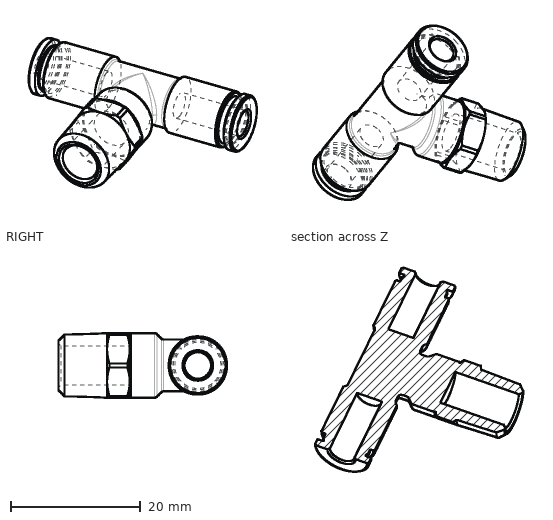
import cadquery as cq
import math


run_half_length = 17.6
body_radius = 4.5
collar_width = 1.23
collar_chamfer = 0.25
neck_radius = 3.75
groove_radius = 3.55
groove_width = 0.2
neck_chamfer = 0.2
body_start = 15.07
body_outer_chamfer = 0.2
body_end = 6.05

pipe_radius = 4.0
blend_radius = 0.5

branch_length = 21.48
shoulder_start = 5.28
shoulder_radius = 5.0
shoulder_end = 10.28
relief_radius = 4.9

hex_start = 10.5
hex_end = 13.98
hex_flat_distance = 10.0
hex_corner_radius = 5.6
hex_face_radius = 5.0
hex_chamfer_angle = 30.0

thread_radius = 5.0
thread_taper = 1 / 16
thread_chamfer = 0.95

port_bore_radius = 2.05
port_bore_depth = 11.25
port_countersink = 0.3
branch_bore_radius = 3.0
branch_bore_depth = 11.0
branch_countersink = 0.42

blend_reach = blend_radius * math.sin(math.pi / 4)
blend_rise = blend_radius * (1 - math.cos(math.pi / 4))
blend_mid_reach = blend_radius * math.sin(math.pi / 8)
blend_mid_rise = blend_radius * (1 - math.cos(math.pi / 8))


def make_run_half():
    """Right half of the run, revolved about X."""
    collar_inner = run_half_length - collar_width
    groove_inner = collar_inner - groove_width
    slope_end = body_end - (body_radius - pipe_radius - blend_rise)
    pipe_end = slope_end - blend_reach
    profile = (
        cq.Workplane("XY")
        .moveTo(0, 0)
        .lineTo(0, pipe_radius)
        .lineTo(pipe_end, pipe_radius)
        .threePointArc(
            (pipe_end + blend_mid_reach, pipe_radius + blend_mid_rise),
            (slope_end, pipe_radius + blend_rise),
        )
        .lineTo(body_end, body_radius)
        .lineTo(body_start - body_outer_chamfer, body_radius)
        .lineTo(body_start, body_radius - body_outer_chamfer)
        .lineTo(body_start, neck_radius)
        .lineTo(groove_inner - neck_chamfer, neck_radius)
        .lineTo(groove_inner, groove_radius)
        .lineTo(collar_inner, groove_radius)
        .lineTo(collar_inner, body_radius)
        .lineTo(run_half_length - collar_chamfer, body_radius)
        .lineTo(run_half_length, body_radius - collar_chamfer)
        .lineTo(run_half_length, 0)
        .close()
    )
    return profile.revolve(360, (0, 0, 0), (1, 0, 0))


def make_pipe_tee():
    """Crossing of the two equal pipes, with the inner corners rounded."""
    run_pipe = cq.Workplane("YZ").circle(pipe_radius).extrude(body_end, both=True)
    branch_pipe = cq.Workplane("XZ").circle(pipe_radius).extrude(shoulder_start)
    tee = run_pipe.union(branch_pipe)
    inner_corner = cq.selectors.BoxSelector(
        (-pipe_radius, -pipe_radius, -pipe_radius),
        (pipe_radius, 0, pipe_radius),
    )
    return tee.edges("%ELLIPSE").edges(inner_corner).fillet(blend_radius)


def make_branch_end():
    """Shoulder, relief and tapered thread, revolved about Y."""
    foot = shoulder_start + blend_reach
    slope = shoulder_radius - pipe_radius - 2 * blend_rise
    crest = foot + slope
    thread_end = branch_length - thread_chamfer
    thread_end_radius = thread_radius - (thread_end - hex_end) * thread_taper / 2
    profile = (
        cq.Workplane("XY")
        .moveTo(0, -shoulder_start)
        .lineTo(pipe_radius, -shoulder_start)
        .threePointArc(
            (pipe_radius + blend_mid_rise, -shoulder_start - blend_mid_reach),
            (pipe_radius + blend_rise, -foot),
        )
        .lineTo(shoulder_radius - blend_rise, -crest)
        .threePointArc(
            (shoulder_radius - blend_mid_rise, -crest - blend_reach + blend_mid_reach),
            (shoulder_radius, -crest - blend_reach),
        )
        .lineTo(shoulder_radius, -shoulder_end)
        .lineTo(relief_radius, -shoulder_end)
        .lineTo(relief_radius, -hex_end)
        .lineTo(thread_radius, -hex_end)
        .lineTo(thread_end_radius, -thread_end)
        .lineTo(thread_end_radius - thread_chamfer, -branch_length)
        .lineTo(0, -branch_length)
        .close()
    )
    return profile.revolve(360, (0, 0, 0), (0, 1, 0))


def make_hexagon():
    """Hexagon with corners on +X and -X, trimmed to a round barrel with chamfered ends."""
    chamfer_slope = math.tan(math.radians(hex_chamfer_angle))
    chamfer_length = (hex_corner_radius - hex_face_radius) * chamfer_slope
    corner_distance = hex_flat_distance / math.cos(math.pi / 6)
    prism = (
        cq.Workplane("XZ", origin=(0, -hex_start, 0))
        .polygon(6, corner_distance)
        .extrude(hex_end - hex_start)
    )
    barrel = (
        cq.Workplane("XY")
        .moveTo(0, -hex_start)
        .lineTo(hex_face_radius, -hex_start)
        .lineTo(hex_corner_radius, -hex_start - chamfer_length)
        .lineTo(hex_corner_radius, -hex_end + chamfer_length)
        .lineTo(hex_face_radius, -hex_end)
        .lineTo(0, -hex_end)
        .close()
        .revolve(360, (0, 0, 0), (0, 1, 0))
    )
    return prism.intersect(barrel)


def make_bore(mouth, direction, radius, depth, countersink):
    """Blind bore with a 45 degree countersink at its mouth."""
    bore = cq.Solid.makeCylinder(radius, depth, mouth, direction)
    cone = cq.Solid.makeCone(radius + countersink, radius, countersink, mouth, direction)
    return cq.Workplane(bore).union(cq.Workplane(cone))


tee = make_pipe_tee()
run_half = make_run_half()
result = tee.union(run_half).union(run_half.mirror("YZ"))
result = result.union(make_branch_end()).union(make_hexagon())

for side in (-1, 1):
    port_mouth = cq.Vector(side * run_half_length, 0, 0)
    inward = cq.Vector(-side, 0, 0)
    result = result.cut(make_bore(port_mouth, inward, port_bore_radius, port_bore_depth, port_countersink))
branch_mouth = cq.Vector(0, -branch_length, 0)
result = result.cut(
    make_bore(branch_mouth, cq.Vector(0, 1, 0), branch_bore_radius, branch_bore_depth, branch_countersink)
)